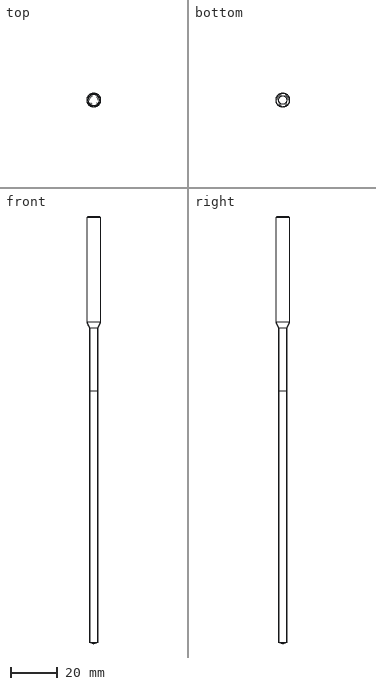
import cadquery as cq
import math

shank_diameter = 6.0
drill_diameter = 3.6
shoulder_height = 183.0
cutting_length = 108.0
shank_length = 45.5
cone_height = 2.5
shank_chamfer = 0.6
tip_angle = 140.0

shank_radius = shank_diameter / 2
drill_radius = drill_diameter / 2
shank_bottom = shoulder_height - shank_length
cone_bottom = shank_bottom - cone_height
tip_height = drill_radius / math.tan(math.radians(tip_angle / 2))


def revolve_profile(points):
    """Revolve a closed (radius, height) outline about the Z axis."""
    return cq.Workplane("XZ").polyline(points).close().revolve(360, (0, 0, 0), (0, 1, 0))


def make_holder():
    """Chamfered shank that tapers into the slim neck."""
    return revolve_profile([
        (0, cutting_length),
        (drill_radius, cutting_length),
        (drill_radius, cone_bottom),
        (shank_radius, shank_bottom),
        (shank_radius, shoulder_height - shank_chamfer),
        (shank_radius - shank_chamfer, shoulder_height),
        (0, shoulder_height),
    ])


def make_cutting_part():
    """Plain cylinder with a shallow conical tip, butted against the end of the neck."""
    return revolve_profile([
        (0, -tip_height),
        (drill_radius, 0),
        (drill_radius, cutting_length),
        (0, cutting_length),
    ])


holder = make_holder()
cutting_part = make_cutting_part()

result = cq.Compound.makeCompound([holder.val(), cutting_part.val()])